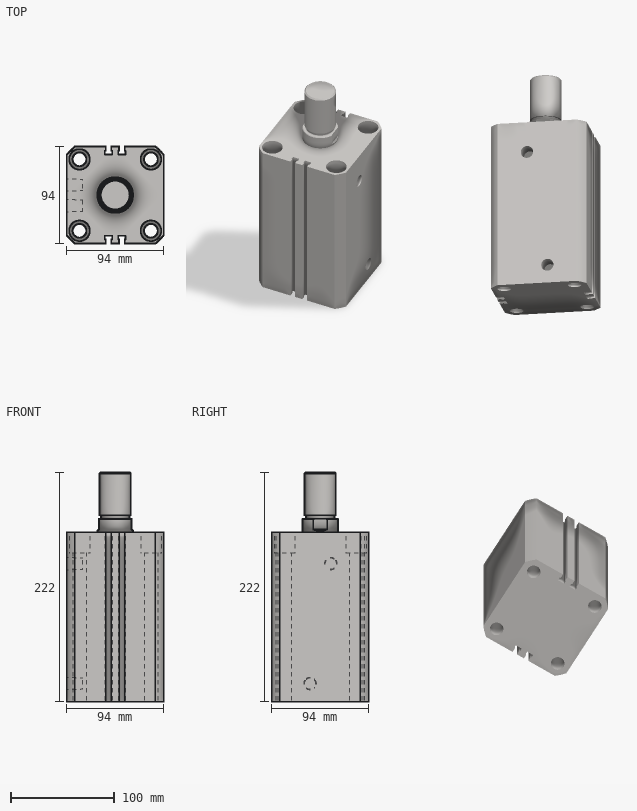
import cadquery as cq

TOTAL_HEIGHT = 222.0
ROD_HEIGHT = 58.0
BODY_HEIGHT = TOTAL_HEIGHT - ROD_HEIGHT
BODY_WIDTH = 94.0
HALF_WIDTH = BODY_WIDTH / 2
CORNER_ROUND_DIAMETER = 121.9

MOUNT_SPACING = 69.0
MOUNT_HOLE_DIAMETER = 13.0
MOUNT_BORE_DIAMETER = 20.0
MOUNT_BORE_DEPTH = 20.0

SLOT_OFFSET = 6.5
SLOT_NECK_WIDTH = 5.0
SLOT_WIDTH = 6.9
SLOT_NECK_DEPTH = 4.2
SLOT_DEPTH = 7.5

PORT_MOUTH_DIAMETER = 12.0
PORT_FLOOR_DIAMETER = 10.9
PORT_DEPTH = 15.0
PORT_OFFSET = 10.0
UPPER_PORT_Z = BODY_HEIGHT - 30.2
LOWER_PORT_Z = 18.0

COLLAR_DIAMETER = 34.6
COLLAR_HEIGHT = 13.0
COLLAR_CHAMFER = 0.7
FLATS_WIDTH = 31.7
FLAT_BOTTOM = 2.7
NECK_DIAMETER = 27.8
NECK_HEIGHT = 3.0
STUD_DIAMETER = 30.5
STUD_CHAMFER = 1.3


def make_t_slot(x, side):
    """T-slot cutter at x, open towards the Y side given by its sign."""
    neck = cq.Workplane("XY").box(SLOT_NECK_WIDTH, SLOT_DEPTH, BODY_HEIGHT, centered=(True, True, False))
    neck = neck.translate((x, side * (HALF_WIDTH - SLOT_DEPTH / 2), 0))
    head_depth = SLOT_DEPTH - SLOT_NECK_DEPTH
    head = cq.Workplane("XY").box(SLOT_WIDTH, head_depth, BODY_HEIGHT, centered=(True, True, False))
    head = head.translate((x, side * (HALF_WIDTH - SLOT_DEPTH + head_depth / 2), 0))
    return neck.union(head)


def make_port(y, z):
    """Blind port cutter entering the -X side, tapering from its mouth to its flat floor."""
    mouth_radius = PORT_MOUTH_DIAMETER / 2
    floor_radius = PORT_FLOOR_DIAMETER / 2
    profile = [(0, 0), (mouth_radius, 0), (floor_radius, PORT_DEPTH), (0, PORT_DEPTH)]
    side_plane = cq.Plane(origin=(-HALF_WIDTH, y, z), xDir=(0, 1, 0), normal=(0, 0, -1))
    return cq.Workplane(side_plane).polyline(profile).close().revolve(360, (0, 0), (0, 1))


def make_housing():
    """Square cylinder body with rounded-off corners, mounting holes, T-slots and ports."""
    housing = cq.Workplane("XY").rect(BODY_WIDTH, BODY_WIDTH).extrude(BODY_HEIGHT)
    housing = housing.intersect(cq.Workplane("XY").circle(CORNER_ROUND_DIAMETER / 2).extrude(BODY_HEIGHT))
    housing = (
        housing.faces(">Z").workplane(origin=(0, 0, BODY_HEIGHT))
        .rect(MOUNT_SPACING, MOUNT_SPACING, forConstruction=True).vertices()
        .cboreHole(MOUNT_HOLE_DIAMETER, MOUNT_BORE_DIAMETER, MOUNT_BORE_DEPTH)
    )
    for side in (-1, 1):
        for x in (-SLOT_OFFSET, SLOT_OFFSET):
            housing = housing.cut(make_t_slot(x, side))
    for y, z in ((PORT_OFFSET, UPPER_PORT_Z), (-PORT_OFFSET, LOWER_PORT_Z)):
        housing = housing.cut(make_port(y, z))
    return housing


def make_wrench_flat(side):
    """Cutter for one wrench flat on the collar, running out at 45 degrees at its lower end."""
    flat_x = FLATS_WIDTH / 2
    outer_x = COLLAR_DIAMETER / 2
    bottom_z = BODY_HEIGHT + FLAT_BOTTOM
    runout_z = bottom_z - (outer_x - flat_x)
    top_z = BODY_HEIGHT + COLLAR_HEIGHT
    profile = [(flat_x, bottom_z), (outer_x, runout_z), (outer_x, top_z), (flat_x, top_z)]
    points = [(side * x, z) for x, z in profile]
    return cq.Workplane("XZ").polyline(points).close().extrude(outer_x, both=True)


def make_rod():
    """Piston rod standing on the housing: flatted collar, relief neck and stud."""
    collar = cq.Workplane("XY", origin=(0, 0, BODY_HEIGHT)).circle(COLLAR_DIAMETER / 2).extrude(COLLAR_HEIGHT)
    collar = collar.faces(">Z").chamfer(COLLAR_CHAMFER)
    for side in (-1, 1):
        collar = collar.cut(make_wrench_flat(side))
    neck_z = BODY_HEIGHT + COLLAR_HEIGHT
    neck = cq.Workplane("XY", origin=(0, 0, neck_z)).circle(NECK_DIAMETER / 2).extrude(NECK_HEIGHT)
    stud_z = neck_z + NECK_HEIGHT
    stud = cq.Workplane("XY", origin=(0, 0, stud_z)).circle(STUD_DIAMETER / 2).extrude(TOTAL_HEIGHT - stud_z)
    stud = stud.faces(">Z").chamfer(STUD_CHAMFER)
    return collar.union(neck).union(stud)


housing = make_housing()
rod = make_rod()
result = cq.Compound.makeCompound([housing.val(), rod.val()])